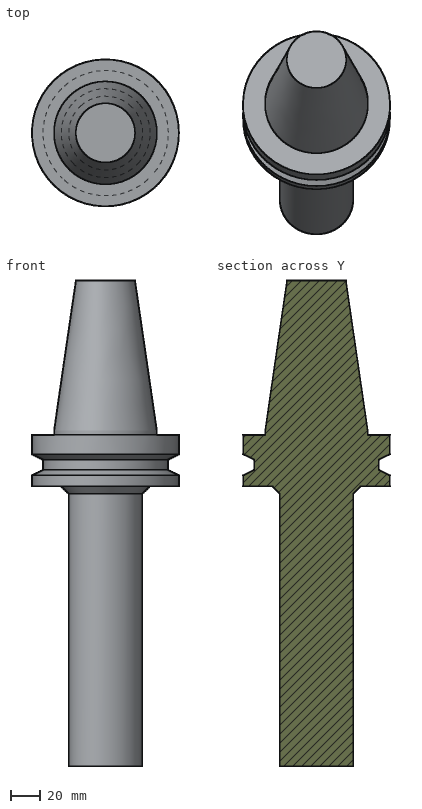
import cadquery as cq

overall_height = 329.8
taper_length = 102.0
gauge_land = 3.0
flange_thickness = 35.0
upper_rim = 13.2
lower_rim = 7.5
groove_floor_width = 7.0
collar_height = 5.0

shank_diameter = 50.0
collar_diameter = 60.5
flange_diameter = 100.0
groove_diameter = 85.0
taper_large_diameter = 70.0
taper_small_diameter = 40.2

gauge_line = overall_height - taper_length
flange_top = gauge_line - gauge_land
flange_bottom = flange_top - flange_thickness
groove_top = flange_top - upper_rim
groove_bottom = flange_bottom + lower_rim
groove_middle = (groove_top + groove_bottom) / 2
collar_bottom = flange_bottom - collar_height

profile = [
    (0, 0),
    (shank_diameter / 2, 0),
    (shank_diameter / 2, collar_bottom),
    (collar_diameter / 2, flange_bottom),
    (flange_diameter / 2, flange_bottom),
    (flange_diameter / 2, groove_bottom),
    (groove_diameter / 2, groove_middle - groove_floor_width / 2),
    (groove_diameter / 2, groove_middle + groove_floor_width / 2),
    (flange_diameter / 2, groove_top),
    (flange_diameter / 2, flange_top),
    (taper_large_diameter / 2, flange_top),
    (taper_large_diameter / 2, gauge_line),
    (taper_small_diameter / 2, overall_height),
    (0, overall_height),
]

result = cq.Workplane("XZ").polyline(profile).close().revolve(360, (0, 0), (0, 1))